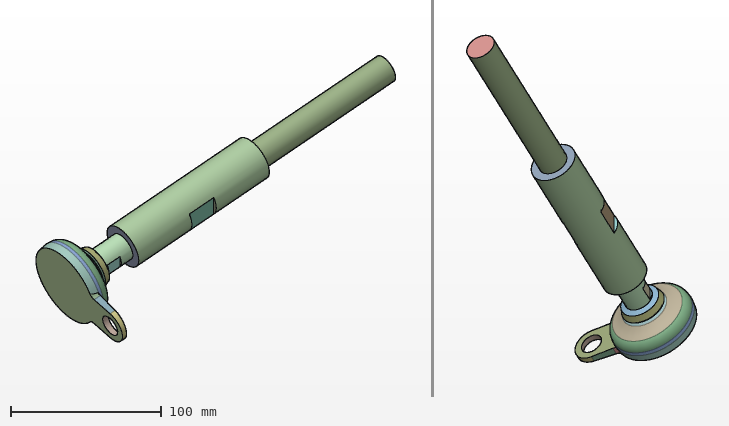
import cadquery as cq
import math

total_length = 283.0

rim_radius = 30.0
disc_radius = 29.1
disc_height = 6.0
rim_top_radius = 29.7
rim_top = 8.5
shoulder_radius = 25.5
shoulder_height = 15.3
foot_neck_radius = 16.0
foot_neck_height = 19.8
foot_top_radius = 14.2
foot_top = 21.5
shoulder_bulge = 1.0
neck_sag = 0.42

lug_hole_diameter = 15.0
lug_radius = 12.5
lug_reach = 58.0
lug_center_x = lug_reach - lug_radius
lug_tip_thickness = 3.7
lug_blend_radius = 5.0

rod_diameter = 20.0
sleeve_diameter = 32.0
sleeve_start = 51.2
sleeve_length = 115.2
sleeve_flat_length = 21.5
sleeve_flat_width = 27.0
collar_base_radius = 15.5
collar_base_height = 22.4
collar_shoulder_radius = 14.0
collar_shoulder_height = 27.5
collar_top = 29.1
rod_flat_start = 30.0
rod_flat_length = 11.0
rod_flat_width = 17.0


def cylinder(radius, start, length):
    """Cylinder on the Y axis, growing from Y = start."""
    return cq.Workplane("XZ", origin=(0, start, 0)).circle(radius).extrude(-length)


def revolve_about_y(profile):
    """Turn a closed profile of (radius, Y) points about the Y axis."""
    return profile.close().revolve(360, (0, 0, 0), (0, 1, 0))


def cut_wrench_flats(body, diameter, across_flats, start, length):
    """Mill two opposite flats, facing -X and +X."""
    depth = (diameter - across_flats) / 2
    for side in (-1, 1):
        center_x = side * (across_flats + depth) / 2
        cutter = cq.Workplane("XY").box(depth, length, diameter)
        body = body.cut(cutter.translate((center_x, start + length / 2, 0)))
    return body


def bowed_midpoint(start, end, bow):
    """Middle of a segment, moved by bow to its right-hand side."""
    run = end[0] - start[0]
    rise = end[1] - start[1]
    length = math.hypot(run, rise)
    middle_x = (start[0] + end[0]) / 2 + bow * rise / length
    middle_y = (start[1] + end[1]) / 2 - bow * run / length
    return (middle_x, middle_y)


def make_lug():
    """Lug with a hole, blended into the disc and tapering towards its tip."""
    blend_center_z = lug_radius + lug_blend_radius
    center_distance = disc_radius + lug_blend_radius
    blend_center_x = math.sqrt(center_distance**2 - blend_center_z**2)
    disc_share = disc_radius / center_distance
    touch_x = blend_center_x * disc_share
    touch_z = blend_center_z * disc_share
    middle_angle = (math.atan2(-blend_center_z, -blend_center_x) - math.pi / 2) / 2
    blend_mid_x = blend_center_x + lug_blend_radius * math.cos(middle_angle)
    blend_mid_z = blend_center_z + lug_blend_radius * math.sin(middle_angle)
    outline = (
        cq.Workplane("XZ")
        .moveTo(0, touch_z)
        .lineTo(touch_x, touch_z)
        .threePointArc((blend_mid_x, blend_mid_z), (blend_center_x, lug_radius))
        .lineTo(lug_center_x, lug_radius)
        .threePointArc((lug_reach, 0), (lug_center_x, -lug_radius))
        .lineTo(blend_center_x, -lug_radius)
        .threePointArc((blend_mid_x, -blend_mid_z), (touch_x, -touch_z))
        .lineTo(0, -touch_z)
        .close()
        .extrude(-disc_height)
    )
    taper = (
        cq.Workplane("XY")
        .moveTo(0, 0)
        .lineTo(lug_reach, 0)
        .lineTo(lug_reach, lug_tip_thickness)
        .lineTo(touch_x, disc_height)
        .lineTo(0, disc_height)
        .close()
        .extrude(lug_radius * 2, both=True)
    )
    hole = cylinder(lug_hole_diameter / 2, 0, disc_height).translate((lug_center_x, 0, 0))
    return outline.intersect(taper).cut(hole)


def make_foot():
    """Round bell-shaped foot with a lug at +X."""
    rim_end = (rim_top_radius, rim_top)
    shoulder = (shoulder_radius, shoulder_height)
    neck = (foot_neck_radius, foot_neck_height)
    bell = revolve_about_y(
        cq.Workplane("XY")
        .moveTo(0, 0)
        .lineTo(disc_radius, 0)
        .lineTo(rim_radius, disc_height)
        .lineTo(*rim_end)
        .threePointArc(bowed_midpoint(rim_end, shoulder, shoulder_bulge), shoulder)
        .threePointArc(bowed_midpoint(shoulder, neck, -neck_sag), neck)
        .lineTo(foot_top_radius, foot_top)
        .lineTo(0, foot_top)
    )
    return bell.union(make_lug())


def make_stem():
    """Rod with its sleeve, and the conical collar that rests on the foot."""
    collar = revolve_about_y(
        cq.Workplane("XY")
        .moveTo(0, foot_top)
        .lineTo(foot_top_radius, foot_top)
        .lineTo(collar_base_radius, collar_base_height)
        .lineTo(collar_shoulder_radius, collar_shoulder_height)
        .lineTo(rod_diameter / 2, collar_top)
        .lineTo(0, collar_top)
    )
    rod = cylinder(rod_diameter / 2, collar_top, total_length - collar_top)
    rod = cut_wrench_flats(rod, rod_diameter, rod_flat_width, rod_flat_start, rod_flat_length)
    sleeve = cylinder(sleeve_diameter / 2, sleeve_start, sleeve_length)
    sleeve_flat_start = sleeve_start + (sleeve_length - sleeve_flat_length) / 2
    sleeve = cut_wrench_flats(
        sleeve, sleeve_diameter, sleeve_flat_width, sleeve_flat_start, sleeve_flat_length
    )
    return collar.union(rod).union(sleeve)


foot = make_foot()
stem = make_stem()
result = cq.Compound.makeCompound([foot.val(), stem.val()])